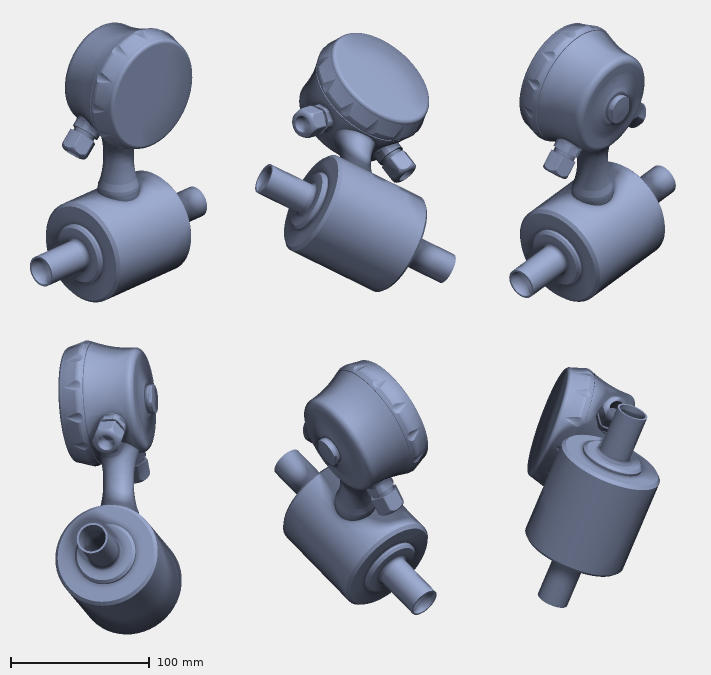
import cadquery as cq
import math

overall_height = 210.2

body_diameter = 76.1
body_length = 76.5
body_chamfer = 2.3
collar_diameter = 45.0
collar_length = 84.0
collar_chamfer = 1.9
pipe_diameter = 23.0
pipe_length = 158.0
pipe_root_fillet = 2.0
bore_diameter = 20.0

neck_diameter = 22.0
neck_base_diameter = 30.0
neck_base_top = 40.4
neck_base_round = 10.3
neck_base_round_height = 2.5
neck_lower_flare_end = 48.1
neck_waist_bottom = 64.5
neck_waist_top = 68.5
neck_top = 92.5
neck_lower_flare = 71.5
neck_upper_flare = 56.8

housing_back = -19.5
housing_small_radius = body_diameter / 2
housing_rim_radius = 44.0
housing_back_fillet = 5.0
housing_front = 15.1
dish_outer_radius = 25.9
dish_inner_radius = 15.5
dish_arc_radius = 33.6
boss_radius = 12.6
boss_back = -22.0
seam_width = 0.6
seam_depth = 0.6

plug_diameter = 21.0
plug_back = -27.0
plug_rim_front = -23.8
plug_seat_diameter = 20.2
plug_flat_half_width = 9.0
plug_flat_depth = 1.9
plug_crown = 0.6

cap_back_radius = 44.2
cap_ridge_radius = 45.5
cap_ridge_back = 19.3
cap_ridge_front = 21.0
cap_edge_radius = 42.0
cap_front = 35.0
cap_front_round = 3.0
grip_count = 12
grip_tip = 30.7
grip_half_angle = 30
grip_tilt = 39
grip_cone_length = 25.2

gland_angle = 45
gland_x = -1.9
gland_flats = 19.5
gland_root = 25.2
gland_base_start = 39.5
gland_base_end = 45.5
gland_base_diameter = 20.8
gland_stem_diameter = 16.6
gland_nut_start = 48.8
gland_nut_end = 63.5
gland_nut_diameter = 22.0
gland_nut_round = 4.6
gland_hole_diameter = 12.0


def cylinder_y(diameter, length):
    return cq.Workplane("XZ", origin=(0, length / 2, 0)).circle(diameter / 2).extrude(length)


def make_body():
    drum = cylinder_y(body_diameter, body_length).edges().chamfer(body_chamfer)
    collars = cylinder_y(collar_diameter, collar_length).edges().chamfer(collar_chamfer)
    root_radius = pipe_diameter / 2 + pipe_root_fillet
    collar_face = collar_length / 2
    corner = pipe_root_fillet * (1 - math.sqrt(0.5))
    pipe = (
        cq.Workplane("XY")
        .lineTo(root_radius, 0)
        .lineTo(root_radius, collar_face)
        .threePointArc(
            (pipe_diameter / 2 + corner, collar_face + corner),
            (pipe_diameter / 2, collar_face + pipe_root_fillet),
        )
        .lineTo(pipe_diameter / 2, pipe_length / 2)
        .lineTo(0, pipe_length / 2)
        .close()
        .revolve(360, (0, 0), (0, 1))
    )
    return drum.union(collars).union(pipe).union(pipe.mirror("XZ"))


def arc_rise(radius, run):
    """Height gained along a run by an arc that starts level."""
    return radius - math.sqrt(radius**2 - run**2)


def make_neck():
    base_radius = neck_base_diameter / 2
    waist_radius = neck_diameter / 2
    lower_run = neck_waist_bottom - neck_lower_flare_end
    upper_run = neck_top - neck_waist_top

    def base_point(run):
        return (base_radius - arc_rise(neck_base_round, run), neck_base_top + run)

    def lower_point(run):
        return (waist_radius + arc_rise(neck_lower_flare, run), neck_waist_bottom - run)

    def upper_point(run):
        return (waist_radius + arc_rise(neck_upper_flare, run), neck_waist_top + run)

    return (
        cq.Workplane("XZ")
        .lineTo(base_radius, 0)
        .lineTo(base_radius, neck_base_top)
        .threePointArc(base_point(neck_base_round_height / 2), base_point(neck_base_round_height))
        .lineTo(*lower_point(lower_run))
        .threePointArc(lower_point(lower_run / 2), lower_point(0))
        .lineTo(*upper_point(0))
        .threePointArc(upper_point(upper_run / 2), upper_point(upper_run))
        .lineTo(0, neck_top)
        .close()
        .revolve(360, (0, 0), (0, 1))
    )


def make_housing():
    """Housing and cap turned about X, with the head axis at Z = 0."""
    flare_start = housing_back + housing_back_fillet
    run = housing_front - flare_start
    rise = housing_rim_radius - housing_small_radius
    flare_arc = (run**2 + rise**2) / (2 * rise)
    middle_rise = arc_rise(flare_arc, run / 2)
    dish_run = dish_outer_radius - dish_inner_radius
    dish_inner_x = housing_back - arc_rise(dish_arc_radius, dish_run)
    dish_middle_x = housing_back - arc_rise(dish_arc_radius, dish_run / 2)
    corner = housing_back_fillet * (1 - math.sqrt(0.5))
    cap_corner = cap_front_round * (1 - math.sqrt(0.5))
    seam_end = housing_front + seam_width
    return (
        cq.Workplane("XZ")
        .moveTo(boss_back, 0)
        .lineTo(boss_back, boss_radius)
        .lineTo(dish_inner_x, dish_inner_radius)
        .threePointArc(
            (dish_middle_x, dish_inner_radius + dish_run / 2),
            (housing_back, dish_outer_radius),
        )
        .lineTo(housing_back, housing_small_radius - housing_back_fillet)
        .threePointArc(
            (housing_back + corner, housing_small_radius - corner),
            (flare_start, housing_small_radius),
        )
        .threePointArc(
            (flare_start + run / 2, housing_small_radius + middle_rise),
            (housing_front, housing_rim_radius),
        )
        .lineTo(housing_front, housing_rim_radius - seam_depth)
        .lineTo(seam_end, housing_rim_radius - seam_depth)
        .lineTo(seam_end, cap_back_radius)
        .lineTo(cap_ridge_back, cap_ridge_radius)
        .lineTo(cap_ridge_front, cap_ridge_radius)
        .lineTo(cap_front - cap_front_round, cap_edge_radius)
        .threePointArc(
            (cap_front - cap_corner, cap_edge_radius - cap_corner),
            (cap_front, cap_edge_radius - cap_front_round),
        )
        .lineTo(cap_front, 0)
        .close()
        .revolve(360, (0, 0), (1, 0))
    )


def make_grip_cutter():
    """Cone with its point on the cap's slope, tilted so that it leaves the cap behind the ridge."""
    cone_end = cap_front - cap_front_round
    taper = (cap_ridge_radius - cap_edge_radius) / (cone_end - cap_ridge_front)
    tip_radius = cap_ridge_radius - taper * (grip_tip - cap_ridge_front)
    base_radius = grip_cone_length * math.tan(math.radians(grip_half_angle))
    cone = (
        cq.Workplane("XZ")
        .lineTo(-grip_cone_length, base_radius)
        .lineTo(-grip_cone_length, 0)
        .close()
        .revolve(360, (0, 0), (1, 0))
    )
    return cone.rotate((0, 0, 0), (0, 1, 0), grip_tilt).translate((grip_tip, 0, tip_radius))


def cut_grips(head):
    cutter = make_grip_cutter()
    for index in range(grip_count):
        head = head.cut(cutter.rotate((0, 0, 0), (1, 0, 0), index * 360 / grip_count))
    return head


def make_plug():
    """Round plug with a faintly domed face and two flats for a spanner."""
    plug_radius = plug_diameter / 2
    plug = (
        cq.Workplane("XZ")
        .moveTo(housing_back, 0)
        .lineTo(housing_back, plug_seat_diameter / 2)
        .lineTo(plug_rim_front, plug_seat_diameter / 2)
        .lineTo(plug_rim_front, plug_radius)
        .lineTo(plug_back, plug_radius)
        .lineTo(plug_back - plug_crown, 0)
        .close()
        .revolve(360, (0, 0), (1, 0))
    )
    flat_size = (2 * plug_flat_depth, plug_radius, plug_diameter)
    for side in (-1, 1):
        flat_y = side * (plug_flat_half_width + plug_radius / 2)
        plug = plug.cut(cq.Workplane("XY").box(*flat_size).translate((plug_back, flat_y, 0)))
    return plug


def hexagon(start, end):
    """Hexagonal bar along Z with two corners on X."""
    across_corners = gland_flats / math.cos(math.radians(30))
    return cq.Workplane("XY").workplane(offset=start).polygon(6, across_corners).extrude(end - start)


def cylinder_z(diameter, start, end):
    return cq.Workplane("XY").workplane(offset=start).circle(diameter / 2).extrude(end - start)


def make_gland():
    """Gland along +Z, measured outward from the head axis."""
    root = cylinder_z(gland_base_diameter, gland_root, gland_base_start)
    base = cylinder_z(gland_base_diameter, gland_base_start, gland_base_end)
    base = base.intersect(hexagon(gland_base_start, gland_base_end))
    stem = cylinder_z(gland_stem_diameter, gland_root, gland_nut_end - gland_nut_round)
    nut = cylinder_z(gland_nut_diameter, gland_nut_start, gland_nut_end)
    nut = nut.faces(">Z").edges().fillet(gland_nut_round)
    nut = nut.intersect(hexagon(gland_nut_start, gland_nut_end))
    hole = cylinder_z(gland_hole_diameter, gland_nut_start, gland_nut_end)
    return root.union(base).union(stem).union(nut).cut(hole).translate((gland_x, 0, 0))


head = cut_grips(make_housing()).union(make_plug())
gland = make_gland()
for side in (-1, 1):
    head = head.union(gland.rotate((0, 0, 0), (1, 0, 0), side * (180 - gland_angle)))

head_height = overall_height - body_diameter / 2 - head.val().BoundingBox().zmax
result = make_body().union(make_neck()).union(head.translate((0, 0, head_height)))
result = result.cut(cylinder_y(bore_diameter, pipe_length))